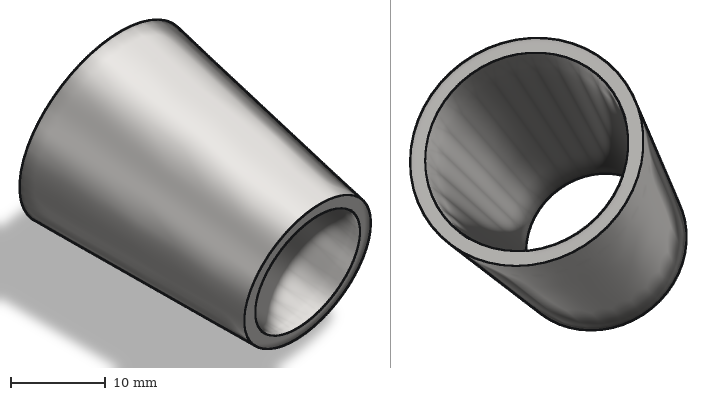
import cadquery as cq

length = 30.0
wide_diameter = 25.4
narrow_diameter = 19.1
wall = 1.65

wide_radius = wide_diameter / 2
narrow_radius = narrow_diameter / 2

wall_section = (
    cq.Workplane("XY")
    .moveTo(0, wide_radius - wall)
    .lineTo(0, wide_radius)
    .lineTo(length, narrow_radius)
    .lineTo(length, narrow_radius - wall)
    .close()
)

result = wall_section.revolve(360, (0, 0, 0), (1, 0, 0))